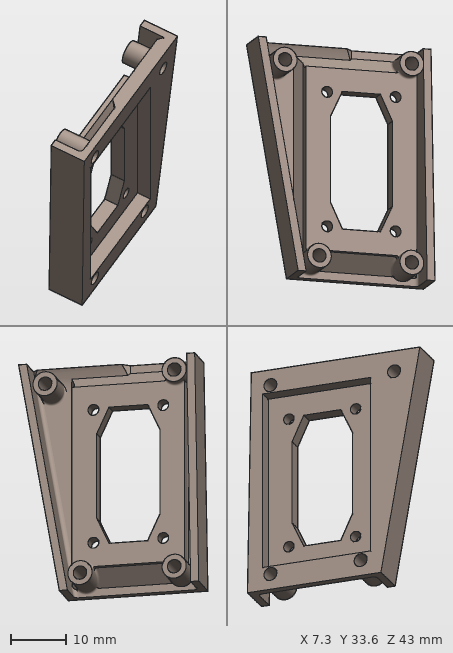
import cadquery as cq
import math

depth = 7.0
height = 43.0
base_width = 26.0
left_lean = math.radians(10)
right_lean = math.radians(1)
wall = 1.5
floor_x = depth - 1.5
corner_radius = 0.8

platform_x = 1.5
platform_y_min = 3.0
platform_y_max = 24.0
platform_end_margin = 4.5
end_ramp_run = 3.0
end_ramp_x = floor_x - end_ramp_run
left_ramp_run = 1.1
side_ramp_x = 3.5
right_cove_radius = floor_x - side_ramp_x
web_thickness = 2.8

window_width = 11.75
window_height = 25.6
window_flat_width = 7.2
window_flat_height = 15.9
screw_spacing_y = 13.0
screw_spacing_z = 25.0
screw_diameter = 2.0

boss_radius = 2.25
boss_bore = 2.5
boss_x = -0.3
boss_fillet = 0.4
top_left_boss = (28.55, 39.0)
top_right_boss = (4.5, 40.0)
bottom_left_boss = (22.05, 3.0)
bottom_right_boss = (4.5, 3.0)
boss_centers = [top_left_boss, top_right_boss, bottom_left_boss, bottom_right_boss]
floor_filleted_bosses = [top_left_boss, top_right_boss, bottom_left_boss]
platform_filleted_bosses = [top_right_boss, bottom_left_boss, bottom_right_boss]

lip_x = 4.2
lip_drop = 4.5
lip_y_min = 15.4
lip_y_max = 31.1

center_y = (platform_y_min + platform_y_max) / 2
center_z = height / 2
platform_z_min = platform_end_margin
platform_z_max = height - platform_end_margin


def left_edge(z):
    return base_width + z * math.tan(left_lean)


def right_edge(z):
    return z * math.tan(right_lean)


def prism_along_x(points, x_start, x_end):
    """Extrude an outline of (y, z) points between two X positions."""
    return cq.Workplane("YZ", origin=(x_start, 0, 0)).polyline(points).close().extrude(x_end - x_start)


def trapezoid(z_min, z_max, inset_left, inset_right):
    """Corners of the leaning outline between two heights, with its sides moved inward."""
    return [
        (right_edge(z_min) + inset_right, z_min),
        (left_edge(z_min) - inset_left, z_min),
        (left_edge(z_max) - inset_left, z_max),
        (right_edge(z_max) + inset_right, z_max),
    ]


def make_blank():
    """Solid block with the leaning outer outline of the frame."""
    return prism_along_x(trapezoid(0, height, 0, 0), 0, depth)


def make_channel():
    """Frame with two leaning side walls, open at both ends, rounded into its floor."""
    overrun = 5.0
    insets = (wall / math.cos(left_lean), wall / math.cos(right_lean))
    pocket = prism_along_x(trapezoid(-overrun, height + overrun, *insets), -overrun, floor_x)
    side_floor_edges = cq.selectors.BoxSelector(
        (floor_x - 0.1, -overrun, center_z - 1), (floor_x + 0.1, left_edge(height), center_z + 1)
    )
    pocket = pocket.edges(side_floor_edges).fillet(corner_radius)
    return make_blank().cut(pocket)


def make_end_ramped_block():
    """Full-width block on the floor plate, with the platform's flat face and both end ramps."""
    foot_z_min = platform_z_min - end_ramp_run
    foot_z_max = platform_z_max + end_ramp_run
    profile = [
        (platform_x, platform_z_min),
        (end_ramp_x, platform_z_min),
        (floor_x, foot_z_min),
        (floor_x, 0),
        (depth, 0),
        (depth, height),
        (floor_x, height),
        (floor_x, foot_z_max),
        (end_ramp_x, platform_z_max),
        (platform_x, platform_z_max),
    ]
    return cq.Workplane("XZ").polyline(profile).close().extrude(-left_edge(height))


def make_platform():
    """Platform with ramped ends, a ramped left side and a coved right side."""
    cove_mid_x = side_ramp_x + right_cove_radius * math.sin(math.pi / 4)
    cove_mid_y = platform_y_min - right_cove_radius * (1 - math.cos(math.pi / 4))
    cove_end_y = platform_y_min - right_cove_radius
    along_z = (
        cq.Workplane("XY")
        .moveTo(platform_x, platform_y_min)
        .lineTo(side_ramp_x, platform_y_min)
        .threePointArc((cove_mid_x, cove_mid_y), (floor_x, cove_end_y))
        .lineTo(depth, cove_end_y)
        .lineTo(depth, platform_y_max + left_ramp_run)
        .lineTo(floor_x, platform_y_max + left_ramp_run)
        .lineTo(side_ramp_x, platform_y_max)
        .lineTo(platform_x, platform_y_max)
        .close()
        .extrude(height)
    )
    return make_end_ramped_block().intersect(along_z).intersect(make_blank())


def make_lip():
    """Top lip: concave underside tangent to the floor, ends bevelled at 45 degrees."""
    rise = floor_x - lip_x
    radius = (lip_drop**2 + rise**2) / (2 * rise)
    mid_z = height - lip_drop / 2
    mid_x = floor_x - radius + math.sqrt(radius**2 - (lip_drop / 2) ** 2)
    section = (
        cq.Workplane("XZ")
        .moveTo(depth, height)
        .lineTo(lip_x, height)
        .threePointArc((mid_x, mid_z), (floor_x, height - lip_drop))
        .lineTo(depth, height - lip_drop)
        .close()
        .extrude(-left_edge(height))
    )
    bevel = depth - lip_x
    plan = [
        (lip_x, lip_y_min),
        (depth, lip_y_min - bevel),
        (depth, lip_y_max + bevel),
        (lip_x, lip_y_max),
    ]
    bevelled = cq.Workplane("XY").polyline(plan).close().extrude(height)
    return section.intersect(bevelled).intersect(make_blank())


def cut_back_recess(body):
    """Hollow the platform from the back, leaving a web behind its mounting face."""
    corners = [
        (platform_y_min, platform_z_min),
        (platform_y_max, platform_z_min),
        (platform_y_max, platform_z_max),
        (platform_y_min, platform_z_max),
    ]
    return body.cut(prism_along_x(corners, platform_x + web_thickness, depth))


def cut_window(body):
    half_w = window_width / 2
    half_h = window_height / 2
    flat_w = window_flat_width / 2
    flat_h = window_flat_height / 2
    outline = [
        (flat_w, half_h), (half_w, flat_h), (half_w, -flat_h), (flat_w, -half_h),
        (-flat_w, -half_h), (-half_w, -flat_h), (-half_w, flat_h), (-flat_w, half_h),
    ]
    window = prism_along_x([(center_y + y, center_z + z) for y, z in outline], 0, depth)
    return body.cut(window)


def cut_screw_holes(body):
    holes = (
        cq.Workplane("YZ")
        .center(center_y, center_z)
        .rarray(screw_spacing_y, screw_spacing_z, 2, 2)
        .circle(screw_diameter / 2)
        .extrude(depth)
    )
    return body.cut(holes)


def boss_cylinder(y, z, radius):
    return cq.Workplane("YZ", origin=(boss_x, y, z)).circle(radius).extrude(depth - boss_x)


def rounded_joint(support, y, z):
    """Boss with its junction to the supporting block rounded, trimmed to the boss neighbourhood."""
    joined = support.union(boss_cylinder(y, z, boss_radius))

    def lies_on_boss(edge):
        samples = [edge.positionAt(t) for t in (0, 0.25, 0.5, 0.75, 1)]
        distances = [math.hypot(p.y - y, p.z - z) for p in samples]
        return all(abs(d - boss_radius) < 0.01 for d in distances) and edge.Center().x > boss_x + 0.1

    junction = [edge for edge in joined.edges().vals() if lies_on_boss(edge)]
    rounded = joined.newObject(junction).fillet(boss_fillet)
    return rounded.intersect(boss_cylinder(y, z, boss_radius + 1.5 * boss_fillet))


def add_bosses(body):
    max_width = left_edge(height)
    floor_plate = cq.Workplane("XY").box(depth - floor_x, max_width, height, centered=False)
    floor_plate = floor_plate.translate((floor_x, 0, 0))
    platform_width = platform_y_max - platform_y_min
    platform_zone = cq.Workplane("XY").box(depth - boss_x, platform_width, height, centered=False)
    platform_zone = platform_zone.translate((boss_x, platform_y_min, 0))
    above_foot = platform_zone.translate((0, 0, platform_z_min - end_ramp_run))

    for y, z in boss_centers:
        body = body.union(boss_cylinder(y, z, boss_radius))
    for y, z in floor_filleted_bosses:
        body = body.union(rounded_joint(floor_plate, y, z))
    for boss in platform_filleted_bosses:
        zone = platform_zone if boss in floor_filleted_bosses else above_foot
        body = body.union(rounded_joint(make_end_ramped_block(), *boss).intersect(zone))
    for y, z in boss_centers:
        body = body.cut(boss_cylinder(y, z, boss_bore / 2))
    return body


result = make_channel().union(make_platform()).union(make_lip())
result = add_bosses(result)
result = cut_back_recess(result)
result = cut_window(result)
result = cut_screw_holes(result)